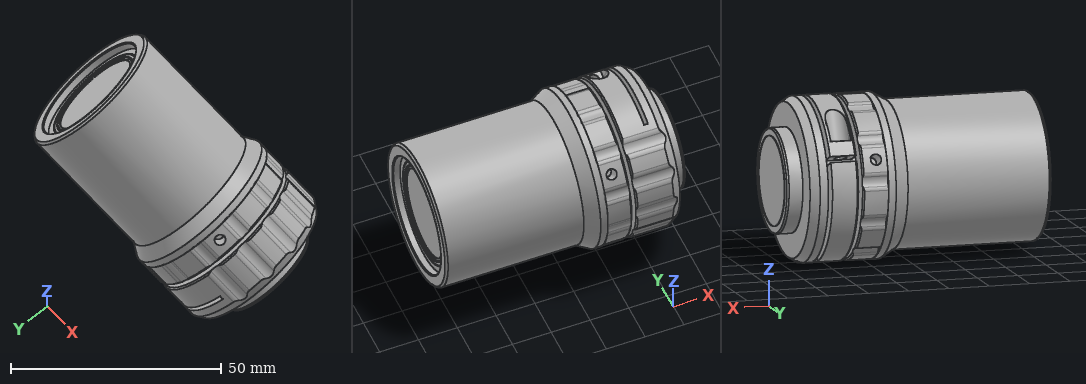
import cadquery as cq
import math


FLARE_START = 35.55
FLANGE_START = 39.1
GRIP_START = 40.95
GRIP_END = 47.3
CLAMP_START = 48.3
CLAMP_TAPER_START = 57.9
CLAMP_END = 60.05
SPIGOT_CHAMFER_START = 63.4
SPIGOT_END = 63.95
LENGTH = 64.1

OUTER_RADIUS = 20.0
GRIP_RADIUS = 19.9
BARREL_RADIUS = 18.0
CORE_RADIUS = 15.45
CLAMP_END_RADIUS = 18.7
SPIGOT_RADIUS = 12.7
SPIGOT_TIP_RADIUS = 12.5
END_DISC_RADIUS = 10.8
BARREL_CHAMFER_LENGTH = 0.6
BARREL_CHAMFER_DROP = 0.5
RING_CHAMFER = 0.4

RECESS_RADIUS = 14.75
RECESS_DEPTH = 2.0
RECESS_CHAMFER = 0.25
SEAM_DEPTH = 0.3
OUTER_SEAM = (12.95, 13.15)
INNER_SEAM = (11.8, 12.1)
WINDOW_RADIUS = 11.2
WINDOW_DEPTH = 0.3
SPANNER_SLOT_WIDTH = 0.65
SPANNER_SLOT_ANGLE = 86.5

GRIP_FLUTE = (0.65, 2.5, 1.6)
GRIP_FLUTE_COUNT = 12
GRIP_FLUTE_ANGLE = 7.5
CLAMP_FLUTE = (0.7, 2.8, 2.25)
CLAMP_FLUTES_PER_SIDE = 3
CLAMP_FLUTE_PITCH = 25.2

GRIP_HOLE_DIAMETER = 2.6
GRIP_HOLE_COUNT = 3
GRIP_HOLE_ANGLE = 22.5
GRIP_HOLE_X = 43.6

SLIT_ANGLE = 24.3
SLIT_WIDTH = 1.5
SLOT_START = 54.85
SLOT_WIDTH = 1.0
SLOT_HALF_ANGLE = 92.3
SCREW_X = 51.6
SCREW_RADIAL_POSITION = 17.55
SCREW_DIAMETER = 2.95
SCREW_HEAD_DIAMETER = 5.0
SCREW_SEAT_OFFSET = 4.5

CLEARANCE = 3.2


def about_axis(shape, angle):
    return shape.rotate((0, 0, 0), (1, 0, 0), angle)


def polar(radius, angle):
    return (radius * math.cos(angle), radius * math.sin(angle))


def tube(start, length, inner, outer):
    return cq.Workplane("YZ", origin=(start, 0, 0)).circle(outer).circle(inner).extrude(length)


def disc(start, length, radius):
    return cq.Workplane("YZ", origin=(start, 0, 0)).circle(radius).extrude(length)


def turned_body():
    profile = [
        (0, 0),
        (0, BARREL_RADIUS - BARREL_CHAMFER_DROP),
        (BARREL_CHAMFER_LENGTH, BARREL_RADIUS),
        (FLARE_START, BARREL_RADIUS),
        (FLANGE_START, OUTER_RADIUS),
        (GRIP_START, OUTER_RADIUS),
        (GRIP_START, GRIP_RADIUS),
        (GRIP_END - RING_CHAMFER, GRIP_RADIUS),
        (GRIP_END, GRIP_RADIUS - RING_CHAMFER),
        (GRIP_END, CORE_RADIUS),
        (CLAMP_START, CORE_RADIUS),
        (CLAMP_START, OUTER_RADIUS - RING_CHAMFER),
        (CLAMP_START + RING_CHAMFER, OUTER_RADIUS),
        (CLAMP_TAPER_START, OUTER_RADIUS),
        (CLAMP_END, CLAMP_END_RADIUS),
        (CLAMP_END, SPIGOT_RADIUS),
        (SPIGOT_CHAMFER_START, SPIGOT_RADIUS),
        (SPIGOT_END, SPIGOT_TIP_RADIUS),
        (SPIGOT_END, END_DISC_RADIUS),
        (LENGTH, END_DISC_RADIUS),
        (LENGTH, 0),
    ]
    return cq.Workplane("XY").polyline(profile).close().revolve(360, (0, 0, 0), (1, 0, 0))


def end_recess():
    profile = [
        (0, 0),
        (0, RECESS_RADIUS + RECESS_CHAMFER),
        (RECESS_CHAMFER, RECESS_RADIUS),
        (RECESS_DEPTH, RECESS_RADIUS),
        (RECESS_DEPTH, 0),
    ]
    recess = cq.Workplane("XY").polyline(profile).close().revolve(360, (0, 0, 0), (1, 0, 0))
    for inner, outer in (OUTER_SEAM, INNER_SEAM):
        recess = recess.union(tube(RECESS_DEPTH, SEAM_DEPTH, inner, outer))
    recess = recess.union(disc(RECESS_DEPTH, WINDOW_DEPTH, WINDOW_RADIUS))
    spanner_slot = (
        cq.Workplane("YZ", origin=(RECESS_DEPTH, 0, 0))
        .rect(2 * INNER_SEAM[0], SPANNER_SLOT_WIDTH)
        .extrude(WINDOW_DEPTH)
    )
    return recess.union(about_axis(spanner_slot, SPANNER_SLOT_ANGLE))


def flute(start, end, ring_radius, depth, hollow_radius, shoulder_radius):
    """Cutter along +Y: a round hollow blended into the ring's cylinder by tangent shoulders."""
    hollow_y = ring_radius - depth + hollow_radius
    shoulder_distance = ring_radius - shoulder_radius
    centre_gap = hollow_radius + shoulder_radius
    half_angle = math.acos(
        (hollow_y**2 + shoulder_distance**2 - centre_gap**2) / (2 * hollow_y * shoulder_distance)
    )
    shoulder_y, shoulder_z = polar(shoulder_distance, half_angle)
    blend_angle = math.atan2(-shoulder_z, hollow_y - shoulder_y)

    def on_shoulder(angle):
        y, z = polar(shoulder_radius, angle)
        return (shoulder_y + y, shoulder_z + z)

    def mirrored(point):
        return (point[0], -point[1])

    rim = polar(ring_radius, half_angle)
    shoulder_middle = on_shoulder((half_angle + blend_angle) / 2)
    blend = on_shoulder(blend_angle)
    beyond = polar(ring_radius + CLEARANCE, half_angle)
    return (
        cq.Workplane("YZ", origin=(start, 0, 0))
        .moveTo(*beyond)
        .lineTo(*rim)
        .threePointArc(shoulder_middle, blend)
        .threePointArc((ring_radius - depth, 0), mirrored(blend))
        .threePointArc(mirrored(shoulder_middle), mirrored(rim))
        .lineTo(*mirrored(beyond))
        .close()
        .extrude(end - start)
    )


def grip_hole():
    """Hole along +Y, down to the core."""
    return (
        cq.Workplane("XZ", origin=(GRIP_HOLE_X, CORE_RADIUS, 0))
        .circle(GRIP_HOLE_DIAMETER / 2)
        .extrude(CORE_RADIUS - OUTER_RADIUS - CLEARANCE)
    )


def clamp_slit():
    """Radial slit along +Y, from the core outwards."""
    length = SLOT_START - CLAMP_START
    height = OUTER_RADIUS + CLEARANCE
    slit = cq.Workplane("XY").box(length, height, SLIT_WIDTH, centered=(False, False, True))
    return slit.translate((CLAMP_START, 0, 0)).cut(disc(CLAMP_START, length, CORE_RADIUS))


def clamp_slot():
    """Arc-shaped slot centred on +Y."""
    outer = OUTER_RADIUS + CLEARANCE
    half_angle = math.radians(SLOT_HALF_ANGLE)
    return (
        cq.Workplane("YZ", origin=(SLOT_START, 0, 0))
        .moveTo(*polar(CORE_RADIUS, -half_angle))
        .lineTo(*polar(outer, -half_angle))
        .threePointArc((outer, 0), polar(outer, half_angle))
        .lineTo(*polar(CORE_RADIUS, half_angle))
        .threePointArc((CORE_RADIUS, 0), polar(CORE_RADIUS, -half_angle))
        .close()
        .extrude(SLOT_WIDTH)
    )


def clamp_screw():
    """Screw hole down to the slit, below a seat for the head that opens outwards."""
    shank = (
        cq.Workplane("XY", origin=(SCREW_X, SCREW_RADIAL_POSITION, 0))
        .circle(SCREW_DIAMETER / 2)
        .extrude(SCREW_SEAT_OFFSET)
    )
    head = (
        cq.Workplane("XY", origin=(SCREW_X, SCREW_RADIAL_POSITION, SCREW_SEAT_OFFSET))
        .circle(SCREW_HEAD_DIAMETER / 2)
        .extrude(OUTER_RADIUS)
    )
    opening = cq.Workplane("XY").box(
        SCREW_HEAD_DIAMETER, OUTER_RADIUS, OUTER_RADIUS, centered=(True, False, False)
    )
    opening = opening.translate((SCREW_X, SCREW_RADIAL_POSITION, SCREW_SEAT_OFFSET))
    return shank.union(head).union(opening)


result = turned_body().cut(end_recess())

grip_flute = flute(GRIP_START, GRIP_END, GRIP_RADIUS, *GRIP_FLUTE)
for index in range(GRIP_FLUTE_COUNT):
    result = result.cut(about_axis(grip_flute, GRIP_FLUTE_ANGLE + index * 360 / GRIP_FLUTE_COUNT))

for index in range(GRIP_HOLE_COUNT):
    result = result.cut(about_axis(grip_hole(), GRIP_HOLE_ANGLE + index * 360 / GRIP_HOLE_COUNT))

clamp_flute = flute(CLAMP_START, CLAMP_END, OUTER_RADIUS, *CLAMP_FLUTE)
for index in range(-CLAMP_FLUTES_PER_SIDE, CLAMP_FLUTES_PER_SIDE + 1):
    result = result.cut(about_axis(clamp_flute, SLIT_ANGLE + 180 + index * CLAMP_FLUTE_PITCH))

for cutter in (clamp_slit(), clamp_slot(), clamp_screw()):
    result = result.cut(about_axis(cutter, SLIT_ANGLE))